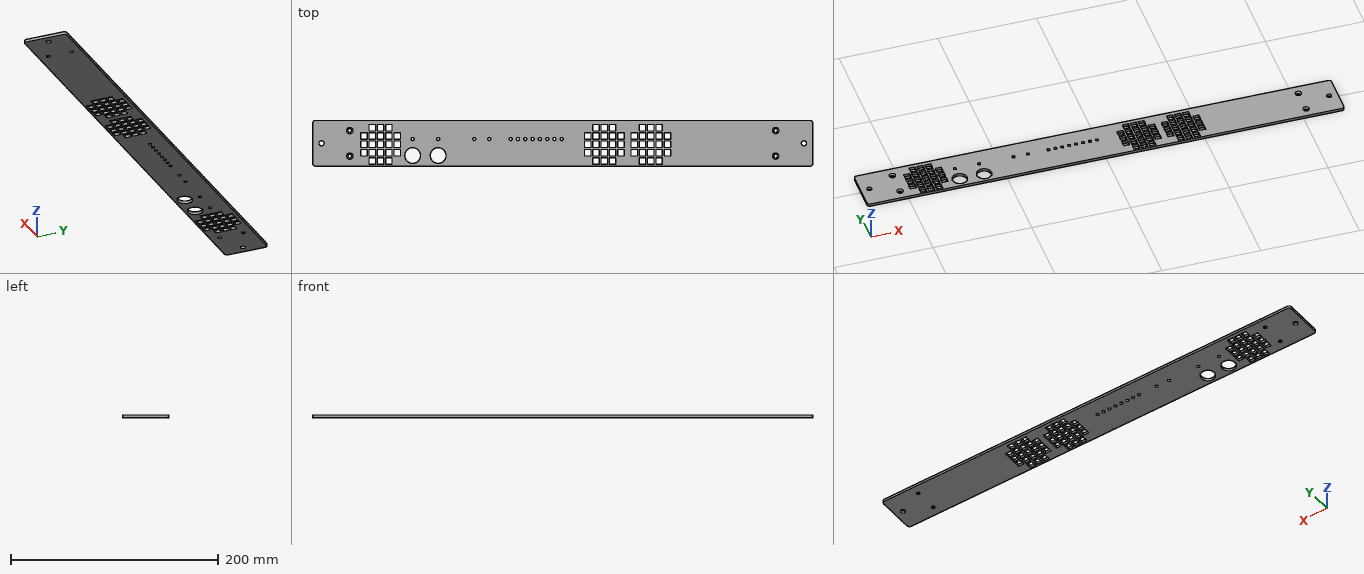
import cadquery as cq

LENGTH = 483.0
HEIGHT = 44.5
THICKNESS = 3.0
CORNER_RADIUS = 3.0

RACK_HOLE_DIAMETER = 5.0
RACK_HOLE_X = 233.0

SCREW_SPACING_X = 411.0
SCREW_SPACING_Y = 24.5
SCREW_DIAMETER = 3.5
SCREW_HEAD_DIAMETER = 6.5
COUNTERSINK_ANGLE = 90.0

VENT_CENTRES_X = (-176.0, 40.0, 85.0)
VENT_Y = -1.0
VENT_CELLS = 5
VENT_HALF_OPENING = 3.0
VENT_WEB = 2.05
VENT_OPENING = 2 * VENT_HALF_OPENING
VENT_PITCH = VENT_OPENING + VENT_WEB

INDICATOR_DIAMETER = 3.0
INDICATOR_Y = 4.15
INDICATOR_PAIR_X = (-85.5, -71.0)
INDICATOR_ROW_START_X = -50.0
INDICATOR_ROW_LENGTH = 49.5
INDICATOR_ROW_COUNT = 8
INDICATOR_ROW_PITCH = INDICATOR_ROW_LENGTH / (INDICATOR_ROW_COUNT - 1)

CONNECTOR_X = (-145.0, -120.5)
CONNECTOR_DROP = 16.0
CONNECTOR_Y = INDICATOR_Y - CONNECTOR_DROP
CONNECTOR_DIAMETER = 15.0


def plate():
    """Flat plate with rounded corners, centred on X and Y, lying on Z = 0."""
    return (
        cq.Workplane("XY")
        .box(LENGTH, HEIGHT, THICKNESS, centered=(True, True, False))
        .edges("|Z")
        .fillet(CORNER_RADIUS)
    )


def on_top(body):
    """Workplane on the top face with its origin on the plate centre."""
    return body.faces(">Z").workplane(origin=(0, 0, THICKNESS))


def drill(body, points, diameter):
    """Round holes right through the plate."""
    return on_top(body).pushPoints(points).hole(diameter)


def countersink_screw_holes(body):
    """Four through holes with a conical seat on the top face."""
    return (
        on_top(body)
        .rect(SCREW_SPACING_X, SCREW_SPACING_Y, forConstruction=True)
        .vertices()
        .cskHole(SCREW_DIAMETER, SCREW_HEAD_DIAMETER, COUNTERSINK_ANGLE)
    )


def vent_points(centre_x):
    """Centres of the openings of one vent, without the grid corners."""
    reach = VENT_CELLS // 2
    steps = range(-reach, reach + 1)
    return [
        (centre_x + column * VENT_PITCH, VENT_Y + row * VENT_PITCH)
        for column in steps
        for row in steps
        if abs(column) + abs(row) < 2 * reach
    ]


def cut_vent(body, centre_x):
    """One vent of square openings right through the plate."""
    return (
        on_top(body)
        .pushPoints(vent_points(centre_x))
        .rect(VENT_OPENING, VENT_OPENING)
        .cutThruAll()
    )


indicator_row_x = [
    INDICATOR_ROW_START_X + i * INDICATOR_ROW_PITCH for i in range(INDICATOR_ROW_COUNT)
]
indicator_x = [*CONNECTOR_X, *INDICATOR_PAIR_X, *indicator_row_x]

result = plate()
result = drill(result, [(-RACK_HOLE_X, 0), (RACK_HOLE_X, 0)], RACK_HOLE_DIAMETER)
result = countersink_screw_holes(result)
for vent_x in VENT_CENTRES_X:
    result = cut_vent(result, vent_x)
result = drill(result, [(x, CONNECTOR_Y) for x in CONNECTOR_X], CONNECTOR_DIAMETER)
result = drill(result, [(x, INDICATOR_Y) for x in indicator_x], INDICATOR_DIAMETER)